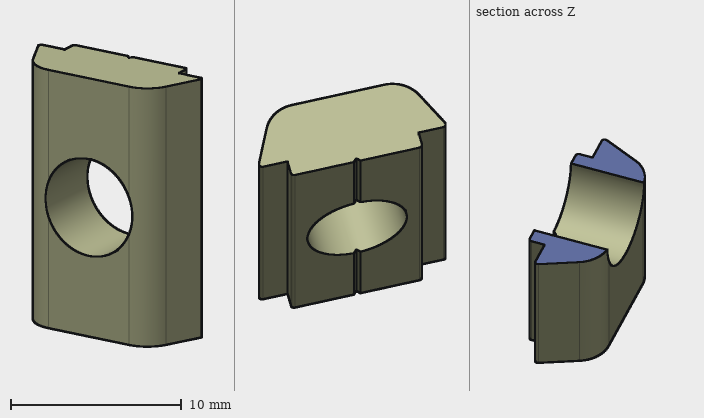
import cadquery as cq
import math

width = 11.26
depth = 4.6
length = 16.0

rib_width = 7.9
rib_height = 1.0
flank_angle = 25.0
front_radius = 2.0
edge_radius = 0.2
notch_width = 0.4
notch_depth = 0.2

hole_diameter = 6.0

front_y = -depth / 2
back_y = depth / 2
ledge_y = back_y - rib_height
tip_half_angle = math.radians(90 - flank_angle) / 2
tip_x = width / 2 + edge_radius * (1 / math.tan(tip_half_angle) - 1)
front_corner_x = tip_x - (ledge_y - front_y) * math.tan(math.radians(flank_angle))
rib_x = rib_width / 2


def edges_at(x, y):
    """Select the lengthwise edges at +x and -x, whose midpoints lie at Z = 0."""
    reach = 0.02

    def box_around(center_x):
        low = (center_x - reach, y - reach, -reach)
        high = (center_x + reach, y + reach, reach)
        return cq.selectors.BoxSelector(low, high)

    return box_around(x) + box_around(-x)


def make_body():
    """Extrude the T-nut section along Z and round its edges."""
    outline = [
        (-front_corner_x, front_y),
        (front_corner_x, front_y),
        (tip_x, ledge_y),
        (rib_x, ledge_y),
        (rib_x, back_y),
        (notch_width / 2, back_y),
        (0, back_y - notch_depth),
        (-notch_width / 2, back_y),
        (-rib_x, back_y),
        (-rib_x, ledge_y),
        (-tip_x, ledge_y),
    ]
    body = cq.Workplane("XY").polyline(outline).close().extrude(length / 2, both=True)
    body = body.edges(edges_at(front_corner_x, front_y)).fillet(front_radius)
    body = body.edges(edges_at(tip_x, ledge_y)).fillet(edge_radius)
    return body.edges(edges_at(rib_x, back_y)).fillet(edge_radius)


def make_hole():
    """Cylinder through the whole depth, along Y."""
    return cq.Workplane("XZ").circle(hole_diameter / 2).extrude(depth, both=True)


result = make_body().cut(make_hole())